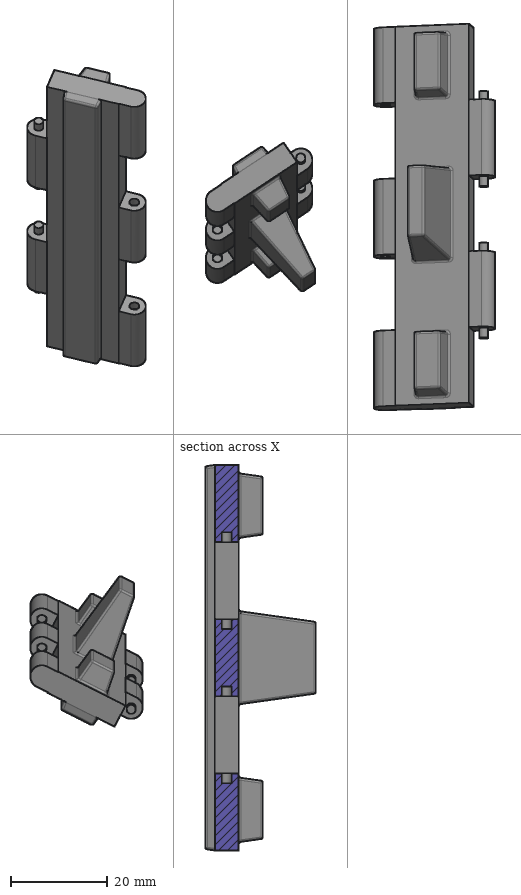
import cadquery as cq
import math

length = 80.0
thickness = 5.0
overall_width = 25.64
knuckle_reach = thickness
plate_width = overall_width - 2 * knuckle_reach

segment_count = 5
segment = length / segment_count
knuckle_clearance = 0.1
knuckle_radius = thickness / 2 - knuckle_clearance
pin_diameter = 1.9
pin_length = 2.0
socket_clearance = 0.1
socket_diameter = pin_diameter + socket_clearance
socket_depth = pin_length
pin_axis_x = plate_width / 2 + knuckle_reach - knuckle_radius

draft_angle = 8.0
edge_radius = 0.5
pad_width = 8.0
pad_height = 2.0
large_tooth_width = 8.0
large_tooth_length = 19.4
large_tooth_height = 16.0
small_tooth_width = 6.85
small_tooth_length = 13.45
small_tooth_height = 5.0
small_tooth_inset = 8.45
small_tooth_z = length / 2 - small_tooth_inset


def segment_centre(index):
    """Z of the middle of a segment, counted up from the bottom."""
    return (index + 0.5) * segment - length / 2


def upright_cylinder(x, z_bottom, diameter, height):
    return cq.Workplane("XY", origin=(x, 0, z_bottom)).circle(diameter / 2).extrude(height)


def knuckle(side, z_centre):
    """Round-nosed knuckle beside the plate; side is -1 for -X and +1 for +X."""
    plate_edge = side * plate_width / 2
    axis = side * pin_axis_x
    nose = side * (pin_axis_x + knuckle_radius)
    return (
        cq.Workplane("XY", origin=(0, 0, z_centre - segment / 2))
        .moveTo(plate_edge, -knuckle_radius)
        .lineTo(axis, -knuckle_radius)
        .threePointArc((nose, 0), (axis, knuckle_radius))
        .lineTo(plate_edge, knuckle_radius)
        .close()
        .extrude(segment)
    )


def pinned_knuckle(z_centre):
    """Knuckle on the -X side with a pin standing out of both ends."""
    pin_height = segment + 2 * pin_length
    pin = upright_cylinder(-pin_axis_x, z_centre - pin_height / 2, pin_diameter, pin_height)
    return knuckle(-1, z_centre).union(pin)


def sockets(z_centre):
    """Two blind sockets reaching up and down from the gap centred at z_centre."""
    height = segment + 2 * socket_depth
    return upright_cylinder(pin_axis_x, z_centre - height / 2, socket_diameter, height)


def drafted_block(face_y, direction, width, block_length, height, z_centre):
    """Tapered block with rounded edges, standing on a plate face along +Y or -Y."""
    inset = height * math.tan(math.radians(draft_angle))
    block = (
        cq.Workplane("XZ", origin=(0, face_y, z_centre))
        .rect(width, block_length)
        .workplane(offset=-direction * height)
        .rect(width - 2 * inset, block_length - 2 * inset)
        .loft(ruled=True)
    )
    root_side = "<Y" if direction > 0 else ">Y"
    root_edges = block.faces(root_side).edges().vals()
    rounded = [edge for edge in block.edges().vals() if not any(edge.isSame(r) for r in root_edges)]
    return block.newObject(rounded).fillet(edge_radius)


def tooth(width, tooth_length, height, z_centre):
    return drafted_block(thickness / 2, 1, width, tooth_length, height, z_centre)


def is_tooth_root(edge):
    """True for edges on the +Y plate face that lie within the teeth's width."""
    box = edge.BoundingBox()
    on_face = abs(box.ymin - thickness / 2) < 1e-4 and abs(box.ymax - thickness / 2) < 1e-4
    return on_face and max(abs(box.xmin), abs(box.xmax)) < large_tooth_width / 2 + edge_radius


result = cq.Workplane("XY").box(plate_width, thickness, length)

result = result.union(tooth(large_tooth_width, large_tooth_length, large_tooth_height, 0))
for tooth_z in (-small_tooth_z, small_tooth_z):
    result = result.union(tooth(small_tooth_width, small_tooth_length, small_tooth_height, tooth_z))
root_edges = [edge for edge in result.edges().vals() if is_tooth_root(edge)]
result = result.newObject(root_edges).fillet(edge_radius)

result = result.union(drafted_block(-thickness / 2, -1, pad_width, length, pad_height, 0))

for index in range(segment_count):
    if index % 2 == 0:
        result = result.union(knuckle(1, segment_centre(index)))
for index in range(segment_count):
    if index % 2 == 1:
        result = result.union(pinned_knuckle(segment_centre(index)))
        result = result.cut(sockets(segment_centre(index)))